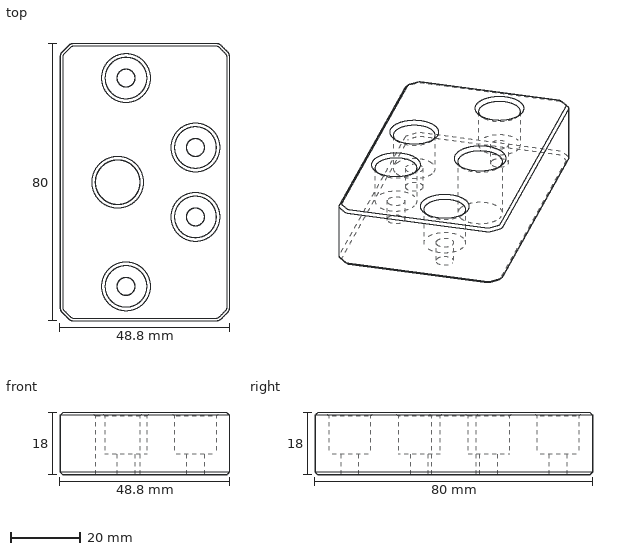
import cadquery as cq

width = 48.8
length = 80.0
height = 18.0
corner_cut = 3.0
corner_radius = 2.0
edge_chamfer = 0.8

screw_hole_diameter = 5.1
counterbore_diameter = 12.0
counterbore_depth = 12.0
mouth_chamfer = 1.0
screw_pitch = 20.0
left_column_x = -5.4
right_column_x = left_column_x + screw_pitch
screw_centers = [
    (left_column_x, 1.5 * screw_pitch),
    (left_column_x, -1.5 * screw_pitch),
    (right_column_x, 0.5 * screw_pitch),
    (right_column_x, -0.5 * screw_pitch),
]

main_hole_diameter = 12.8
main_hole_center = (-7.8, 0)


def make_block():
    """Block with cut corners, rounded upright edges and chamfered rims."""
    block = cq.Workplane("XY").box(width, length, height)
    block = block.edges("|Z").chamfer(corner_cut)
    block = block.edges("|Z").fillet(corner_radius)
    return block.faces("<Z or >Z").chamfer(edge_chamfer)


def cut_mouth(body, centers, diameter):
    """Countersink the top mouth of round holes at 45 degrees."""
    cone = cq.Solid.makeCone(diameter / 2, diameter / 2 + mouth_chamfer, mouth_chamfer)
    for x, y in centers:
        position = cq.Vector(x, y, height / 2 - mouth_chamfer)
        body = body.cut(cq.Workplane(cone.translate(position)))
    return body


def cut_screw_holes(body):
    """Through holes with counterbores open at the top."""
    body = (
        body.faces(">Z").workplane(origin=(0, 0, 0))
        .pushPoints(screw_centers)
        .cboreHole(screw_hole_diameter, counterbore_diameter, counterbore_depth)
    )
    return cut_mouth(body, screw_centers, counterbore_diameter)


def cut_main_hole(body):
    """Large plain through hole with a countersunk mouth."""
    body = (
        body.faces(">Z").workplane(origin=(0, 0, 0))
        .pushPoints([main_hole_center])
        .hole(main_hole_diameter)
    )
    return cut_mouth(body, [main_hole_center], main_hole_diameter)


result = cut_main_hole(cut_screw_holes(make_block()))